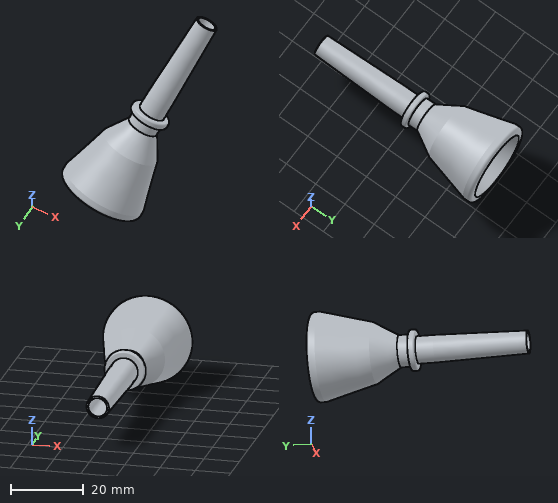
import cadquery as cq

length = 60.0

rim_diameter = 25.0
cup_waist_diameter = 17.2
neck_diameter = 9.0
collar_diameter = 11.5
shank_diameter = 7.7
shank_end_diameter = 6.4

cup_mouth_diameter = 20.4
throat_diameter = 2.6
backbore_end_diameter = 5.3

rim_height = 2.45
cup_waist_depth = 17.0
neck_start_depth = 24.0
collar_start_depth = 27.0
collar_end_depth = 29.0
taper_start_depth = 34.0

rim_round = 1.0
collar_round = 0.55

rim_y = length / 2
end_y = -length / 2


def station(diameter, depth):
    """Profile point (radius, Y) at a depth below the rim face."""
    return (diameter / 2, rim_y - depth)


def revolve_profile(points):
    """Turn a closed outline in the XY plane about the Y axis."""
    return cq.Workplane("XY").polyline(points).close().revolve(360, (0, 0), (0, 1))


def make_body():
    """Rim, two-stage cup cone, neck and tapered shank, with a rounded rim edge."""
    body = revolve_profile([
        (0, rim_y),
        station(rim_diameter, 0),
        station(rim_diameter, rim_height),
        station(cup_waist_diameter, cup_waist_depth),
        station(neck_diameter, neck_start_depth),
        station(neck_diameter, collar_end_depth),
        station(shank_diameter, collar_end_depth),
        station(shank_diameter, taper_start_depth),
        station(shank_end_diameter, length),
        (0, end_y),
    ])
    return body.faces(">Y").edges().fillet(rim_round)


def make_collar():
    """Ring between neck and shank, rounded on both edges."""
    collar = revolve_profile([
        (0, rim_y - collar_start_depth),
        station(collar_diameter, collar_start_depth),
        station(collar_diameter, collar_end_depth),
        (0, rim_y - collar_end_depth),
    ])
    return collar.faces("<Y or >Y").edges().fillet(collar_round)


def make_bore():
    """Conical cup narrowing to the throat, then a backbore widening to the shank end."""
    return revolve_profile([
        (0, rim_y),
        station(cup_mouth_diameter, 0),
        station(throat_diameter, neck_start_depth),
        station(backbore_end_diameter, length),
        (0, end_y),
    ])


result = make_body().union(make_collar()).cut(make_bore())